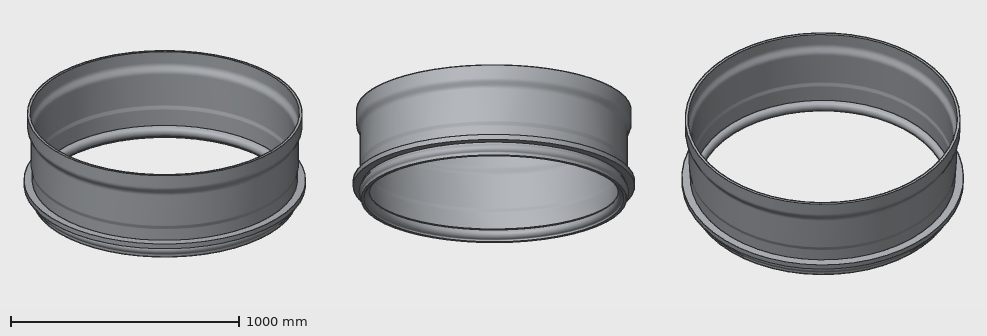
import cadquery as cq
import math

WALL = 12.0
PIPE_TOP = 410.0
LOWER_RADIUS = 1161.0 / 2
BODY_RADIUS = 1170.0 / 2
SOCKET_RADIUS = 1203.0 / 2

STEP_BOTTOM = 137.0
STEP_TOP = 154.0
STEP_ROUNDING = 12.0

FLARE_BOTTOM = 313.0
FLARE_ANGLE = math.radians(30)
FLARE_HEIGHT = (SOCKET_RADIUS - BODY_RADIUS) / math.tan(FLARE_ANGLE)
FLARE_TOP = FLARE_BOTTOM + FLARE_HEIGHT
FLARE_ROUNDING = 36.0

FLANGE_RADIUS = 1233 / 2
FLANGE_BOTTOM = 59.0
FLANGE_TOP = 83.0

RIM_TOP = FLANGE_BOTTOM
BEAD_OUTER_RADIUS = 1180.0 / 2
BEAD_INNER_RADIUS = 545.0
BEAD_SECTION_RADIUS = (BEAD_OUTER_RADIUS - BEAD_INNER_RADIUS) / 2
BEAD_CENTER_RADIUS = (BEAD_OUTER_RADIUS + BEAD_INNER_RADIUS) / 2
BEAD_HEIGHT = 31.0
OUTER_BLEND = 6.0
INNER_BLEND = 4.0


def revolve_profile(profile):
    """Close a (radius, Z) profile and turn it about the Z axis."""
    return profile.close().revolve(360, (0, 0, 0), (0, 1, 0))


def add_rounded_slopes(profile, slopes):
    """Add (start, end, rounding) slopes, each joined by arcs to the vertical runs beside it."""
    for start, end, rounding in slopes:
        length = math.dist(start, end)
        angle = math.atan2(abs(end[0] - start[0]), abs(end[1] - start[1]))
        setback = rounding * math.tan(angle / 2)
        along = ((end[0] - start[0]) / length, (end[1] - start[1]) / length)
        rise = math.copysign(setback, end[1] - start[1])
        profile = (
            profile.lineTo(start[0], start[1] - rise)
            .tangentArcPoint((start[0] + setback * along[0], start[1] + setback * along[1]), relative=False)
            .lineTo(end[0] - setback * along[0], end[1] - setback * along[1])
            .tangentArcPoint((end[0], end[1] + rise), relative=False)
        )
    return profile


def make_pipe():
    lower_bore = LOWER_RADIUS - WALL
    body_bore = BODY_RADIUS - WALL
    socket_bore = SOCKET_RADIUS - WALL
    inner_rise = WALL * math.tan(FLARE_ANGLE / 2)
    outer_slopes = [
        ((LOWER_RADIUS, STEP_BOTTOM), (BODY_RADIUS, STEP_TOP), STEP_ROUNDING),
        ((BODY_RADIUS, FLARE_BOTTOM), (SOCKET_RADIUS, FLARE_TOP), FLARE_ROUNDING),
    ]
    inner_slopes = [
        ((socket_bore, FLARE_TOP + inner_rise), (body_bore, FLARE_BOTTOM + inner_rise), FLARE_ROUNDING),
        ((body_bore, STEP_TOP), (lower_bore, STEP_BOTTOM), STEP_ROUNDING),
    ]
    profile = cq.Workplane("XZ").moveTo(LOWER_RADIUS, RIM_TOP)
    profile = add_rounded_slopes(profile, outer_slopes)
    profile = profile.lineTo(SOCKET_RADIUS, PIPE_TOP).lineTo(socket_bore, PIPE_TOP)
    profile = add_rounded_slopes(profile, inner_slopes)
    return revolve_profile(profile.lineTo(lower_bore, RIM_TOP))


def make_flange():
    return (
        cq.Workplane("XY", origin=(0, 0, FLANGE_BOTTOM))
        .circle(FLANGE_RADIUS)
        .circle(LOWER_RADIUS)
        .extrude(FLANGE_TOP - FLANGE_BOTTOM)
    )


def add_bead(profile, wall_radius, blend_center_radius, blend, direction):
    """Follow a wall face over the bead and its two blends, going up (1) or down (-1)."""
    across = blend_center_radius - BEAD_CENTER_RADIUS
    center_distance = BEAD_SECTION_RADIUS + blend
    reach = direction * math.sqrt(center_distance**2 - across**2)
    share = BEAD_SECTION_RADIUS / center_distance
    contact_radius = BEAD_CENTER_RADIUS + across * share
    contact_reach = reach * share
    return (
        profile.lineTo(wall_radius, BEAD_HEIGHT - reach)
        .tangentArcPoint((contact_radius, BEAD_HEIGHT - contact_reach), relative=False)
        .tangentArcPoint((contact_radius, BEAD_HEIGHT + contact_reach), relative=False)
        .tangentArcPoint((wall_radius, BEAD_HEIGHT + reach), relative=False)
    )


def make_sealing_rim():
    bore = LOWER_RADIUS - WALL
    profile = cq.Workplane("XZ").moveTo(LOWER_RADIUS, 0)
    profile = add_bead(profile, LOWER_RADIUS, LOWER_RADIUS + OUTER_BLEND, OUTER_BLEND, 1)
    profile = profile.lineTo(LOWER_RADIUS, RIM_TOP).lineTo(bore, RIM_TOP)
    profile = add_bead(profile, bore, bore - INNER_BLEND, INNER_BLEND, -1)
    return revolve_profile(profile.lineTo(bore, 0))


pipe = make_pipe()
flange = make_flange()
sealing_rim = make_sealing_rim()

result = cq.Compound.makeCompound([pipe.val(), flange.val(), sealing_rim.val()])